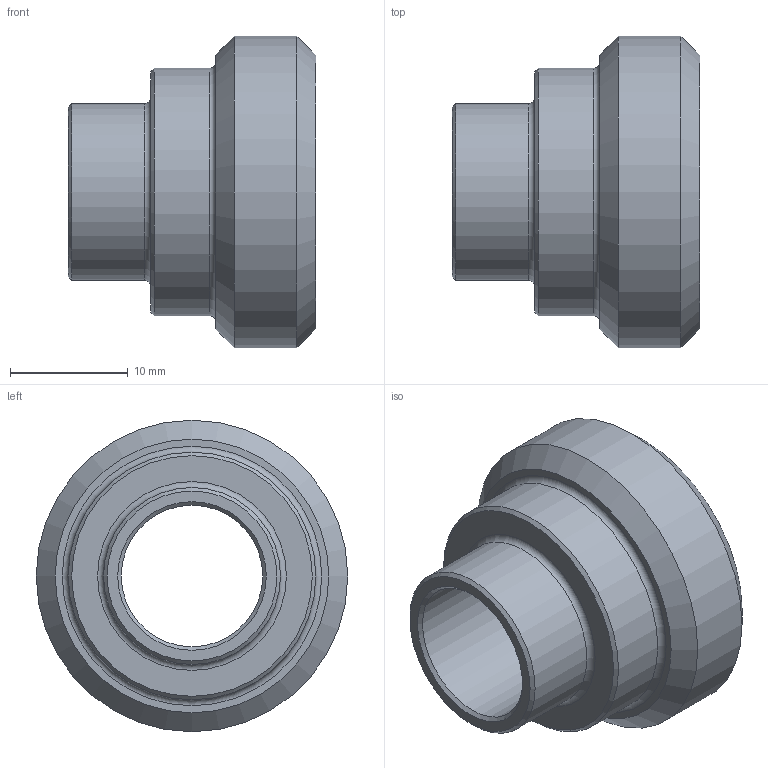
import cadquery as cq

total_length = 21.0
spigot_diameter = 15.0
spigot_length = 7.0
shoulder_diameter = 21.0
shoulder_length = 5.5
flange_diameter = 26.4
bore_diameter = 12.0

edge_chamfer = 0.3
flange_chamfer = 1.6
root_fillet = 0.5

spigot_face = -total_length / 2
shoulder_face = spigot_face + spigot_length
flange_face = shoulder_face + shoulder_length
end_face = total_length / 2

spigot_radius = spigot_diameter / 2
shoulder_radius = shoulder_diameter / 2
flange_radius = flange_diameter / 2
bore_radius = bore_diameter / 2


def add_root_fillet(profile, face_x, radius):
    """Run along a cylinder of the given radius, then curve concavely up into the face at face_x."""
    fillet_start = (face_x - root_fillet, radius)
    fillet_end = (face_x, radius + root_fillet)
    return profile.lineTo(*fillet_start).radiusArc(fillet_end, -root_fillet)


def make_half_profile():
    """Closed section through the wall, X along the axis and Y as the radius."""
    profile = cq.Workplane("XY").moveTo(spigot_face + edge_chamfer, bore_radius)
    profile = profile.lineTo(spigot_face, bore_radius + edge_chamfer)
    profile = profile.lineTo(spigot_face, spigot_radius - edge_chamfer)
    profile = profile.lineTo(spigot_face + edge_chamfer, spigot_radius)
    profile = add_root_fillet(profile, shoulder_face, spigot_radius)

    profile = profile.lineTo(shoulder_face, shoulder_radius - edge_chamfer)
    profile = profile.lineTo(shoulder_face + edge_chamfer, shoulder_radius)
    profile = add_root_fillet(profile, flange_face, shoulder_radius)

    profile = profile.lineTo(flange_face, flange_radius - flange_chamfer)
    profile = profile.lineTo(flange_face + flange_chamfer, flange_radius)
    profile = profile.lineTo(end_face - flange_chamfer, flange_radius)
    profile = profile.lineTo(end_face, flange_radius - flange_chamfer)

    profile = profile.lineTo(end_face, bore_radius)
    return profile.close()


result = make_half_profile().revolve(360, (0, 0, 0), (1, 0, 0))